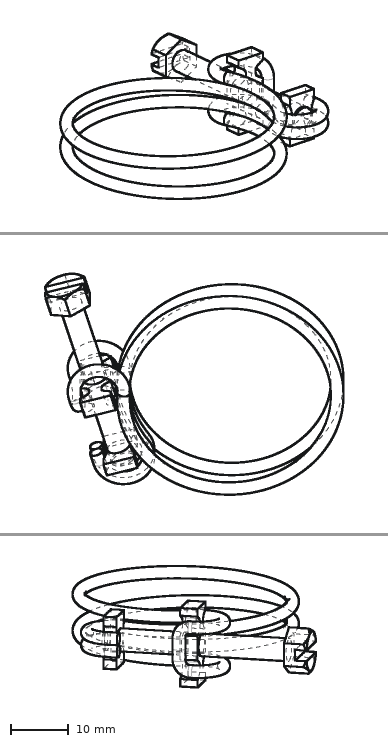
import cadquery as cq
import math


wire_radius = 1.1
ring_radius = 18.5
hook_radius = 4.3
hook_centre_x = 7.75
loop_height = 3.9
hook_height = wire_radius
bridge_bend_radius = 1.9
bridge_lead_length = 0.6
hook_end_length = 2.2

joint_angle = math.degrees(math.asin(hook_centre_x / (ring_radius + hook_radius)))
ring_turns = 1 + 2 * joint_angle / 360
ring_pitch = (loop_height - hook_height) / ring_turns
hook_centre_y = (ring_radius + hook_radius) * math.cos(math.radians(joint_angle))
hook_top_y = hook_centre_y + hook_radius
joint_x = ring_radius * math.sin(math.radians(joint_angle))
joint_y = ring_radius * math.cos(math.radians(joint_angle))

block_width = 5.5
screw_y = hook_top_y - wire_radius - block_width / 2

slide_block_left = -8.3
slide_block_length = 3.1
slide_block_height = 14.0
slide_groove_half_height = 1.75
slide_groove_radius = 1.35
slide_groove_slope = 30.0

nut_left = 6.2
nut_length = 2.3
nut_height = 9.3
nut_groove_half_height = 2.95
nut_groove_depth = 0.65

screw_diameter = 4.0
screw_left = -27.89
screw_length = 36.8
head_length = 4.0
head_across_flats = 7.0
head_slot_width = 1.9
head_slot_depth = 2.0


def screw_axis_plane(x):
    """Plane across the screw at x, facing +X, with local x along Y and local y along Z."""
    return cq.Plane(origin=(x, screw_y, 0), xDir=(0, 1, 0), normal=(1, 0, 0))


def make_screw():
    corner_radius = head_across_flats / 2 / math.cos(math.pi / 6)
    head = (
        cq.Workplane(screw_axis_plane(screw_left))
        .transformed(rotate=(0, 0, 90))
        .polygon(6, 2 * corner_radius)
        .extrude(head_length)
    )
    trim_cone = cq.Solid.makeCone(
        head_across_flats / 2,
        head_across_flats / 2 + head_length,
        head_length,
        cq.Vector(screw_left, screw_y, 0),
        cq.Vector(1, 0, 0),
    )
    head = head.intersect(cq.Workplane(obj=trim_cone))
    slot = (
        cq.Workplane(screw_axis_plane(screw_left))
        .rect(2 * corner_radius, head_slot_width)
        .extrude(head_slot_depth)
    )
    shank = (
        cq.Workplane(screw_axis_plane(screw_left + head_length))
        .circle(screw_diameter / 2)
        .extrude(screw_length - head_length)
    )
    return head.cut(slot).union(shank)


def make_drilled_block(left, length, height):
    return (
        cq.Workplane(screw_axis_plane(left))
        .rect(block_width, height)
        .circle(screw_diameter / 2)
        .extrude(length)
    )


def make_slide_block():
    block = make_drilled_block(slide_block_left, slide_block_length, slide_block_height)
    slope = math.radians(slide_groove_slope)
    centre_depth = (
        slide_groove_half_height - slide_groove_radius / math.cos(slope)
    ) / math.tan(slope)
    tangent_depth = centre_depth + slide_groove_radius * math.sin(slope)
    tangent_height = slide_groove_radius * math.cos(slope)
    for side in (1, -1):
        mouth_y = side * block_width / 2
        for level in (loop_height, -loop_height):
            groove = (
                cq.Workplane(screw_axis_plane(slide_block_left))
                .moveTo(mouth_y, level + slide_groove_half_height)
                .lineTo(mouth_y - side * tangent_depth, level + tangent_height)
                .threePointArc(
                    (mouth_y - side * (centre_depth + slide_groove_radius), level),
                    (mouth_y - side * tangent_depth, level - tangent_height),
                )
                .lineTo(mouth_y, level - slide_groove_half_height)
                .close()
                .extrude(slide_block_length)
            )
            block = block.cut(groove)
    return block


def make_nut():
    nut = make_drilled_block(nut_left, nut_length, nut_height)
    for side in (1, -1):
        mouth_y = side * block_width / 2
        groove = (
            cq.Workplane(screw_axis_plane(nut_left))
            .moveTo(mouth_y, nut_groove_half_height)
            .threePointArc(
                (mouth_y - side * nut_groove_depth, 0),
                (mouth_y, -nut_groove_half_height),
            )
            .close()
            .extrude(nut_length)
        )
        nut = nut.cut(groove)
    return nut


def arc_middle_and_end(centre_x, start_angle, end_angle):
    """Middle point and end point of a hook arc, angles in degrees counter-clockwise from +X."""
    points = []
    for angle in ((start_angle + end_angle) / 2, end_angle):
        turn = math.radians(angle)
        points.append(
            (centre_x + hook_radius * math.cos(turn), hook_centre_y + hook_radius * math.sin(turn))
        )
    return points


def make_upper_ring():
    """Upper ring wire: a hook on the nut side, then a rising helix of a little over one turn."""
    arc_middle, arc_top = arc_middle_and_end(hook_centre_x, -90 - joint_angle, 90)
    hook_path = (
        cq.Workplane("XY", origin=(0, 0, hook_height))
        .moveTo(joint_x, joint_y)
        .threePointArc(arc_middle, arc_top)
        .lineTo(hook_centre_x - hook_end_length, hook_top_y)
    )
    joint_plane = cq.Plane(
        origin=(joint_x, joint_y, hook_height),
        xDir=(0, 0, 1),
        normal=(joint_y, -joint_x, 0),
    )
    hook = cq.Workplane(joint_plane).circle(wire_radius).sweep(hook_path)

    helix = cq.Wire.makeHelix(ring_pitch, ring_pitch * ring_turns, ring_radius)
    helix = helix.rotate(cq.Vector(0, 0, 0), cq.Vector(0, 0, 1), 90 - joint_angle)
    helix = helix.translate(cq.Vector(0, 0, hook_height))
    ring_path = cq.Workplane(obj=helix)
    ring = cq.Workplane(joint_plane).circle(wire_radius).sweep(ring_path, isFrenet=True)
    return ring.union(hook)


def make_loop():
    """Loop wire: two stacked hooks joined by an upright bridge across the slide block."""
    arc_middle, arc_top = arc_middle_and_end(-hook_centre_x, 270 + joint_angle, 90)
    bend_start_x = -hook_centre_x + bridge_lead_length
    bridge_x = bend_start_x + bridge_bend_radius
    half_bridge = loop_height - bridge_bend_radius
    bend_offset = bridge_bend_radius * math.sin(math.pi / 4)
    hook_path = [
        cq.Edge.makeThreePointArc(
            cq.Vector(-joint_x, joint_y, loop_height),
            cq.Vector(*arc_middle, loop_height),
            cq.Vector(*arc_top, loop_height),
        ),
        cq.Edge.makeLine(
            cq.Vector(*arc_top, loop_height),
            cq.Vector(bend_start_x, hook_top_y, loop_height),
        ),
        cq.Edge.makeThreePointArc(
            cq.Vector(bend_start_x, hook_top_y, loop_height),
            cq.Vector(bend_start_x + bend_offset, hook_top_y, half_bridge + bend_offset),
            cq.Vector(bridge_x, hook_top_y, half_bridge),
        ),
        cq.Edge.makeLine(
            cq.Vector(bridge_x, hook_top_y, half_bridge),
            cq.Vector(bridge_x, hook_top_y, 0),
        ),
    ]
    joint_plane = cq.Plane(
        origin=(-joint_x, joint_y, loop_height),
        xDir=(0, 0, 1),
        normal=(-joint_y, -joint_x, 0),
    )
    upper_half = (
        cq.Workplane(joint_plane)
        .circle(wire_radius)
        .sweep(cq.Workplane(obj=cq.Wire.assembleEdges(hook_path)))
    )
    return upper_half.union(upper_half.mirror("XY"))


screw = make_screw()
slide_block = make_slide_block()
nut = make_nut()
loop = make_loop()
upper_ring = make_upper_ring()
lower_ring = upper_ring.mirror("XY")

bodies = [screw, slide_block, nut, loop, upper_ring, lower_ring]

result = cq.Compound.makeCompound([body.solids().val() for body in bodies])